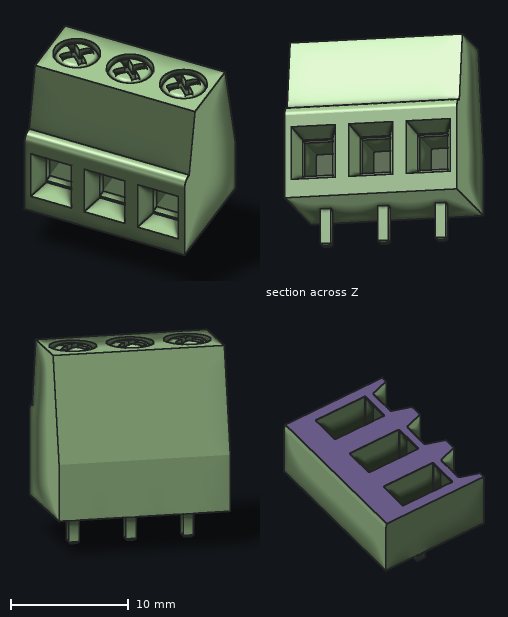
import cadquery as cq
import math


pole_count = 3
length = 15.0
depth = 10.2
overall_height = 17.2
pin_length = 3.2
housing_height = overall_height - pin_length
pitch = length / pole_count
front_y = -depth / 2
back_y = depth / 2

back_wall_height = 4.94
top_back_setback = 2.06
top_front_setback = 2.1
top_back_y = back_y - top_back_setback
top_front_y = front_y + top_front_setback
nose_height = 8.0
nose_radius = 0.8
nose_flat = 0.12
nose_inner_y = front_y + nose_radius + nose_flat

mouth_width = 3.8
mouth_bottom = 1.58
mouth_top = 6.15
funnel_end_width = 2.6
funnel_end_bottom = 2.01
funnel_end_top = 5.38
funnel_depth = 1.8
throat_bottom = 2.2
throat_top = 5.28
chamber_start = 2.55
chamber_depth = depth - 2 * chamber_start
chamber_clearance = 0.17
chamber_corner_radius = 0.17

screw_y = (top_back_y + top_front_y) / 2
screw_radius = 4.0 / 2
head_flat_radius = screw_radius / 2
head_round = screw_radius - head_flat_radius
cross_length = 2.8
cross_width = 0.69
cross_depth = 0.96
cross_angle = 45

pin_width = 0.91
pin_thickness = 0.83
pin_chamfer = 0.19


def make_housing():
    """Side profile with sloping upper walls and a rounded nose, extruded along X."""
    nose_arc_y = front_y + nose_radius * (1 - math.sqrt(0.5))
    nose_arc_z = nose_height - nose_radius * (1 - math.sqrt(0.5))
    return (
        cq.Workplane("YZ")
        .moveTo(front_y, 0)
        .lineTo(back_y, 0)
        .lineTo(back_y, back_wall_height)
        .lineTo(top_back_y, housing_height)
        .lineTo(top_front_y, housing_height)
        .lineTo(nose_inner_y, nose_height)
        .lineTo(front_y + nose_radius, nose_height)
        .threePointArc((nose_arc_y, nose_arc_z), (front_y, nose_height - nose_radius))
        .close()
        .extrude(length / 2, both=True)
    )


def entry_block(x, width, bottom, top, start, block_depth):
    """Box centred on x, starting a given distance behind the front face."""
    return cq.Workplane("XY", origin=(x, front_y + start, bottom)).box(
        width, block_depth, top - bottom, centered=(True, False, False)
    )


def make_wire_entry(x):
    """Cutter for one wire entry."""
    mouth_centre = (mouth_bottom + mouth_top) / 2
    funnel_end_centre = (funnel_end_bottom + funnel_end_top) / 2
    funnel = (
        cq.Workplane("XZ", origin=(x, front_y, 0))
        .center(0, mouth_centre)
        .rect(mouth_width, mouth_top - mouth_bottom)
        .workplane(offset=-funnel_depth)
        .center(0, funnel_end_centre - mouth_centre)
        .rect(funnel_end_width, funnel_end_top - funnel_end_bottom)
        .loft(ruled=True)
    )
    throat = entry_block(
        x, funnel_end_width, throat_bottom, throat_top, funnel_depth, chamber_start - funnel_depth
    )
    chamber = entry_block(
        x,
        funnel_end_width + 2 * chamber_clearance,
        throat_bottom - chamber_clearance,
        throat_top + chamber_clearance,
        chamber_start,
        chamber_depth,
    )
    chamber = chamber.edges("|Y").fillet(chamber_corner_radius)
    return funnel.union(throat).union(chamber)


def make_screw_recess(x):
    """Cutter that leaves a round-edged screw head with a cross slot."""
    head_top = housing_height
    round_r = head_flat_radius + head_round * math.sqrt(0.5)
    round_z = head_top - head_round * (1 - math.sqrt(0.5))
    recess = (
        cq.Workplane("XZ")
        .moveTo(head_flat_radius, head_top)
        .threePointArc((round_r, round_z), (screw_radius, head_top - head_round))
        .lineTo(screw_radius, head_top)
        .close()
        .revolve(360, (0, 0, 0), (0, 1, 0))
    )
    slot = (
        cq.Workplane("XY", origin=(0, 0, head_top - cross_depth))
        .rect(cross_length, cross_width)
        .extrude(cross_depth)
    )
    for angle in (cross_angle, cross_angle + 90):
        recess = recess.union(slot.rotate((0, 0, 0), (0, 0, 1), angle))
    return recess.translate((x, screw_y, 0))


def make_pin(x):
    """Rectangular solder pin with a chamfered tip."""
    return (
        cq.Workplane("XY", origin=(x, 0, 0))
        .rect(pin_width, pin_thickness)
        .extrude(-pin_length)
        .faces("<Z")
        .chamfer(pin_chamfer)
    )


result = make_housing()
for pole in range(pole_count):
    pole_x = (pole - (pole_count - 1) / 2) * pitch
    result = result.cut(make_wire_entry(pole_x))
    result = result.cut(make_screw_recess(pole_x))
    result = result.union(make_pin(pole_x))